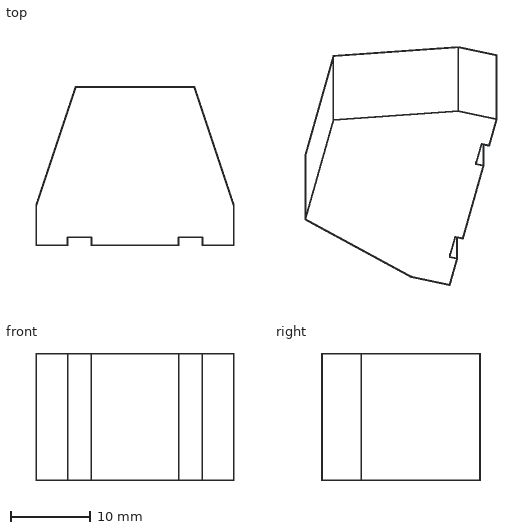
import cadquery as cq

width = 25.0
depth = 20.0
height = 16.0

back_width = 15.0
straight_side = 5.0

groove_width = 3.0
groove_depth = 1.0
groove_edge_margin = 4.0

front_y = -depth / 2
groove_offset = width / 2 - groove_edge_margin - groove_width / 2


def make_body():
    """Block with straight sides at the front, tapering to a narrower back."""
    outline = [
        (-width / 2, front_y),
        (width / 2, front_y),
        (width / 2, front_y + straight_side),
        (back_width / 2, front_y + depth),
        (-back_width / 2, front_y + depth),
        (-width / 2, front_y + straight_side),
    ]
    return cq.Workplane("XY").polyline(outline).close().extrude(height)


def make_grooves():
    """Cutters for the two full-height grooves, centred on the front face."""
    return (
        cq.Workplane("XY")
        .pushPoints([(-groove_offset, front_y), (groove_offset, front_y)])
        .rect(groove_width, 2 * groove_depth)
        .extrude(height)
    )


result = make_body().cut(make_grooves())